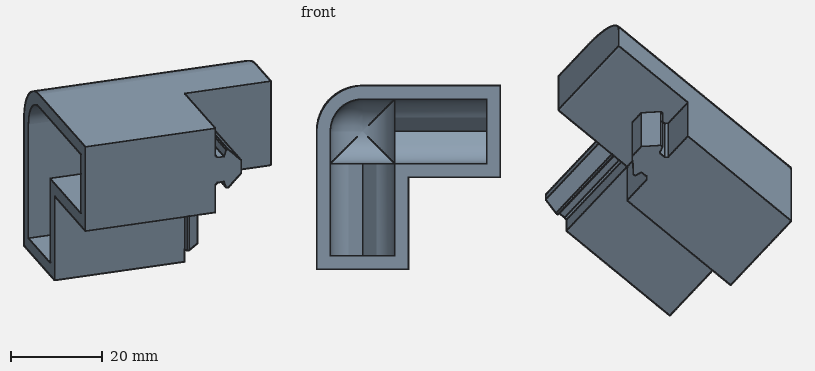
import cadquery as cq

leg_length = 40.0
leg_width = 20.0
leg_depth = 30.0
post_depth = 50.0
corner_radius = 10.0
wall = 3.0
rim_depth = 0.5
rim_inset = 0.1
groove_half = 3.0

bore = leg_width - 2 * wall
arch_radius = bore / 2
axis = leg_width / 2
post_axis_z = leg_length - axis
leg_spring = leg_depth - wall - arch_radius
post_spring = post_depth - wall - arch_radius
arch_shoulder = (arch_radius**2 - groove_half**2) ** 0.5

rail_half_profile = [(3.5, 0), (3, 0.5), (3, 2), (4.5, 2.5), (4.5, 3), (1.5, 6)]


def block(x0, x1, y0, y1, z0, z1):
    """Box given by its limits along each axis."""
    return cq.Workplane("XY").box(x1 - x0, y1 - y0, z1 - z0, centered=False).translate((x0, y0, z0))


def turn_to_z_leg(solid):
    """Turn a feature of the X leg into the matching feature of the Z leg."""
    return solid.rotate((axis, 0, post_axis_z), (axis, 1, post_axis_z), 90)


def make_body():
    """L-shaped legs and deeper corner post sharing one rounded edge."""
    inner = leg_length - leg_width
    post = block(0, leg_width, 0, post_depth, inner, leg_length)
    x_leg = block(0, leg_length, 0, leg_depth, inner, leg_length)
    z_leg = block(0, leg_width, 0, leg_depth, 0, leg_length)
    body = post.union(x_leg).union(z_leg).clean()
    body = body.edges(cq.selectors.NearestToPointSelector((0, leg_depth, leg_length))).fillet(corner_radius)
    return body.faces(">Y").chamfer(rim_inset, rim_depth)


def make_rail():
    """Slot rail on the back of the X leg."""
    right = [(leg_depth + height, post_axis_z + half) for half, height in rail_half_profile]
    left = [(leg_depth + height, post_axis_z - half) for half, height in reversed(rail_half_profile)]
    length = leg_length - leg_width
    return cq.Workplane("YZ", origin=(leg_width, 0, 0)).polyline(right + left).close().extrude(length)


def make_leg_cavity():
    """Arched channel of the X leg, with a V groove along its crown."""
    shoulder_y = leg_spring + arch_shoulder
    diagonal = 0.5**0.5 * arch_radius
    arc_y = leg_spring + diagonal
    low = post_axis_z - arch_radius
    high = post_axis_z + arch_radius
    return (
        cq.Workplane("YZ", origin=(axis, 0, 0))
        .moveTo(0, low)
        .lineTo(leg_spring, low)
        .threePointArc((arc_y, post_axis_z - diagonal), (shoulder_y, post_axis_z - groove_half))
        .lineTo(shoulder_y + groove_half, post_axis_z)
        .lineTo(shoulder_y, post_axis_z + groove_half)
        .threePointArc((arc_y, post_axis_z + diagonal), (leg_spring, high))
        .lineTo(0, high)
        .close()
        .extrude(leg_length - wall - axis)
    )


def make_post_cavity():
    """Post bore ending in a groin-shaped dome, spherical in the rounded corner."""
    low_z = post_axis_z - arch_radius
    high_z = post_axis_z + arch_radius
    far_x = axis + arch_radius
    arch_x = cq.Workplane("YZ", origin=(wall, 0, 0)).center(post_spring, post_axis_z)
    arch_x = arch_x.circle(arch_radius).extrude(bore)
    arch_z = cq.Workplane("XY", origin=(0, 0, low_z)).center(axis, post_spring)
    arch_z = arch_z.circle(arch_radius).extrude(bore)
    dome = arch_x.intersect(arch_z)
    cavity = block(wall, far_x, 0, post_spring, low_z, high_z).union(dome)

    quadrant = block(wall, axis, 0, post_depth, post_axis_z, high_z)
    round_bore = cq.Workplane("XZ", origin=(axis, 0, post_axis_z)).circle(arch_radius).extrude(-post_spring)
    ball = cq.Workplane("XY").sphere(arch_radius).translate((axis, post_spring, post_axis_z))
    return cavity.cut(quadrant).union(round_bore.intersect(quadrant)).union(ball.intersect(quadrant))


rail = make_rail()
leg_cavity = make_leg_cavity()

result = make_body().union(rail).union(turn_to_z_leg(rail))
result = result.cut(make_post_cavity()).cut(leg_cavity).cut(turn_to_z_leg(leg_cavity))